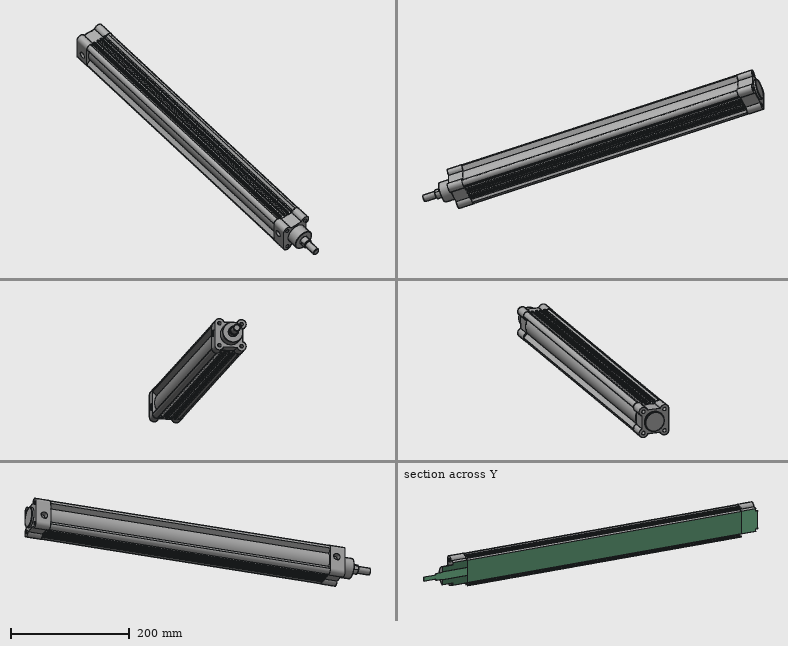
import cadquery as cq
import math


section_size = 54.0
half_size = section_size / 2
corner_radius = 8.0
corner_centre = half_size - corner_radius

cap_length = 26.5
body_length = 555.0
barrel_length = body_length - 2 * cap_length
front_face_x = body_length

notch_floor = 21.4
mount_hole_diameter = 6.0
mount_hole_depth = 16.0
port_diameter = 11.4
port_depth = 12.0
port_inset = 15.0
port_offset = 4.8
collar_diameter = 35.0
collar_chamfer = 0.6
rear_boss_chamfer = 1.0
rear_boss_length = 4.0
front_collar_length = 20.0

tube_radius = 23.2
slot_centre = 7.4
slot_opening = 5.0
slot_lip = 2.2
slot_head_width = 7.4
slot_floor = 21.0
rib_inner = 2.3
rib_outer = 12.5
rail_half_size = 26.6
rail_radius = 7.6

rod_diameter = 16.0
rod_reach = 12.0
flat_start = 3.8
wrench_width = 14.4
shoulder_chamfer = 1.2
thread_diameter = 12.0
thread_length = 22.0
thread_chamfer = 1.0


def bar(x, length, y_range, z_range):
    """Rectangular bar along X."""
    (y0, y1), (z0, z1) = y_range, z_range
    return cq.Workplane("XY").box(length, y1 - y0, z1 - z0, centered=False).translate((x, y0, z0))


def rod_along_x(x, length, diameter):
    return cq.Workplane("YZ", origin=(x, 0, 0)).circle(diameter / 2).extrude(length)


def corner_points():
    return [(y, z) for y in (-corner_centre, corner_centre) for z in (-corner_centre, corner_centre)]


def corner_lobes(x, length):
    sketch = cq.Workplane("YZ", origin=(x, 0, 0)).pushPoints(corner_points())
    return sketch.circle(corner_radius).extrude(length)


def cap_block(x):
    """Core with four round lobes; the -Y side is flat, the other three sides are notched."""
    core = bar(x, cap_length, (-notch_floor, notch_floor), (-notch_floor, notch_floor))
    flat_side = bar(x, cap_length, (-half_size, -notch_floor), (-corner_centre, corner_centre))
    return core.union(flat_side).union(corner_lobes(x, cap_length))


def port(x, z):
    """Blind air port bored from the flat -Y side."""
    return cq.Workplane("XZ", origin=(x, -half_size, z)).circle(port_diameter / 2).extrude(-port_depth)


def mount_holes(x):
    """Four blind holes running in +X from x."""
    sketch = cq.Workplane("YZ", origin=(x, 0, 0)).pushPoints(corner_points())
    return sketch.circle(mount_hole_diameter / 2).extrude(mount_hole_depth)


def make_rear_cap():
    boss = rod_along_x(-rear_boss_length, rear_boss_length, collar_diameter)
    boss = boss.faces("<X").chamfer(rear_boss_chamfer)
    cap = cap_block(0).union(boss)
    return cap.cut(mount_holes(0)).cut(port(port_inset, -port_offset))


def make_front_cap():
    collar = rod_along_x(front_face_x, front_collar_length, collar_diameter)
    collar = collar.faces(">X").chamfer(collar_chamfer)
    cap = cap_block(front_face_x - cap_length).union(collar)
    cap = cap.cut(mount_holes(front_face_x - mount_hole_depth))
    cap = cap.cut(port(front_face_x - port_inset, port_offset))
    rod_bore = rod_along_x(front_face_x - cap_length, cap_length + front_collar_length, rod_diameter)
    return cap.cut(rod_bore)


def corner_rail():
    """Barrel corner at +Y +Z: a rounded edge with flanks falling at 45 degrees to the tube."""
    rail_centre = rail_half_size - rail_radius
    arc_middle = rail_centre + rail_radius * math.sqrt(0.5)
    return (
        cq.Workplane("YZ", origin=(cap_length, 0, 0))
        .moveTo(0, rail_radius)
        .lineTo(rail_centre, rail_half_size)
        .threePointArc((arc_middle, arc_middle), (rail_half_size, rail_centre))
        .lineTo(rail_radius, 0)
        .lineTo(0, 0)
        .close()
        .extrude(barrel_length)
    )


def rib_and_slot():
    """Rib block at +Y on the +Z side of the tube, and the T-slot that runs along all of it."""
    x, length = cap_length, barrel_length
    half_opening = slot_opening / 2
    half_head = slot_head_width / 2
    rib = bar(x, length, (rib_inner, rib_outer), (0, half_size))
    opening_range = (slot_centre - half_opening, slot_centre + half_opening)
    head_range = (slot_centre - half_head, slot_centre + half_head)
    opening = bar(x, length, opening_range, (slot_floor, half_size))
    head = bar(x, length, head_range, (slot_floor, half_size - slot_lip))
    return rib, opening.union(head)


def make_barrel():
    barrel = rod_along_x(cap_length, barrel_length, 2 * tube_radius)
    for quarter in range(4):
        barrel = barrel.union(corner_rail().rotate((0, 0, 0), (1, 0, 0), 90 * quarter))
    rib, slot = rib_and_slot()
    ribs = rib.union(rib.mirror("XZ"))
    slots = slot.union(slot.mirror("XZ"))
    barrel = barrel.union(ribs).union(ribs.mirror("XY"))
    return barrel.cut(slots).cut(slots.mirror("XY"))


def make_rod():
    start_x = front_face_x - cap_length
    collar_x = front_face_x + front_collar_length
    shoulder_x = collar_x + rod_reach
    rod = rod_along_x(start_x, shoulder_x - start_x, rod_diameter).faces(">X").chamfer(shoulder_chamfer)
    for side in (-1, 1):
        y_range = sorted((side * wrench_width / 2, side * rod_diameter / 2))
        z_range = (-rod_diameter / 2, rod_diameter / 2)
        flat = bar(collar_x + flat_start, rod_reach - flat_start, y_range, z_range)
        rod = rod.cut(flat)
    thread = rod_along_x(shoulder_x, thread_length, thread_diameter).faces(">X").chamfer(thread_chamfer)
    return rod.union(thread)


rear_cap = make_rear_cap()
barrel = make_barrel()
front_cap = make_front_cap()
piston_rod = make_rod()

result = cq.Compound.makeCompound([rear_cap.val(), barrel.val(), front_cap.val(), piston_rod.val()])